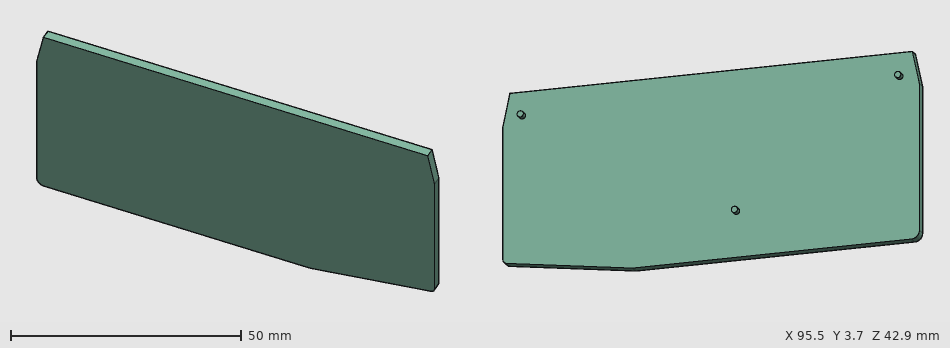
import cadquery as cq

length = 95.5
height = 42.9
plate_thickness = 2.3
shoulder_run = 1.6
shoulder_drop = 7.5
ramp_start = 65.7
ramp_rise = 4.2
left_corner_radius = 1.8
right_corner_radius = 1.0

total_depth = 3.7
peg_diameter = 1.4
peg_end_inset = 4.5
middle_peg_x = 41.9
upper_peg_z = 37.4
lower_peg_z = 10.5
peg_centres = [
    (peg_end_inset, upper_peg_z),
    (middle_peg_x, lower_peg_z),
    (length - peg_end_inset, upper_peg_z),
]


def make_plate():
    """Plate with slanted upper shoulders, a ramped lower edge and rounded lower corners."""
    outline = [
        (0, 0),
        (ramp_start, 0),
        (length, ramp_rise),
        (length, height - shoulder_drop),
        (length - shoulder_run, height),
        (shoulder_run, height),
        (0, height - shoulder_drop),
    ]
    plate = cq.Workplane("XZ").polyline(outline).close().extrude(-plate_thickness)
    lower_corners = [(0, 0, left_corner_radius), (length, ramp_rise, right_corner_radius)]
    for x, z, radius in lower_corners:
        corner = cq.selectors.NearestToPointSelector((x, plate_thickness / 2, z))
        plate = plate.edges("|Y").edges(corner).fillet(radius)
    return plate


def make_pegs():
    """Round pegs rooted in the plate and standing out from its back face."""
    return (
        cq.Workplane("XZ", origin=(0, plate_thickness / 2, 0))
        .pushPoints(peg_centres)
        .circle(peg_diameter / 2)
        .extrude(plate_thickness / 2 - total_depth)
    )


result = make_plate().union(make_pegs())